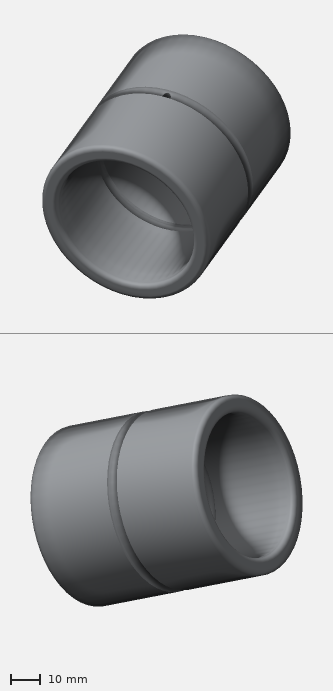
import cadquery as cq

length = 70.0
outer_diameter = 62.0
bore_diameter = 50.0
edge_radius = 1.7

groove_width = 4.05
groove_depth = 1.5
oil_hole_diameter = 3.0

outer_radius = outer_diameter / 2
bore_radius = bore_diameter / 2


def make_sleeve():
    """Plain sleeve with all four rim edges rounded."""
    sleeve = (
        cq.Workplane("XZ")
        .circle(outer_radius)
        .circle(bore_radius)
        .extrude(length / 2, both=True)
    )
    return sleeve.faces("<Y or >Y").edges().fillet(edge_radius)


def make_groove_ring(surface_radius, inward):
    """Ring whose circular section cuts a groove of the set width and depth.

    inward is 1 for a groove sunk toward the axis, -1 for one sunk away from it.
    """
    half_width = groove_width / 2
    section_radius = (half_width**2 + groove_depth**2) / (2 * groove_depth)
    center_radius = surface_radius + inward * (section_radius - groove_depth)
    return (
        cq.Workplane("XY")
        .center(center_radius, 0)
        .circle(section_radius)
        .revolve(360, (-center_radius, 0, 0), (-center_radius, 1, 0))
    )


def make_oil_hole():
    """Radial hole through the top wall, joining the two grooves."""
    return cq.Workplane("XY").circle(oil_hole_diameter / 2).extrude(outer_radius)


outer_groove = make_groove_ring(outer_radius, 1)
bore_groove = make_groove_ring(bore_radius, -1)
result = make_sleeve().cut(outer_groove).cut(bore_groove).cut(make_oil_hole())